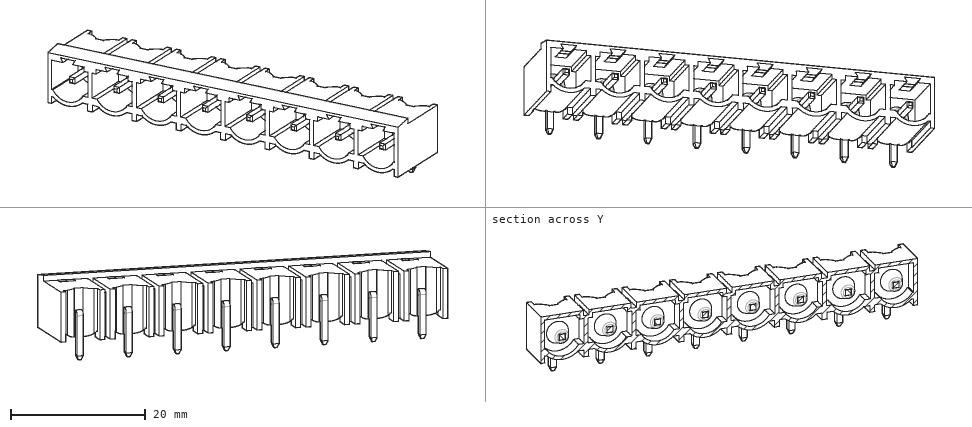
import cadquery as cq


pin_count = 8
housing_length = 60.15
end_to_pin = 3.4
pitch = (housing_length - 2 * end_to_pin) / (pin_count - 1)
pin_places = [end_to_pin + i * pitch for i in range(pin_count)]
divider_places = [x + pitch / 2 for x in pin_places[:-1]]

housing_depth = 11.7
body_depth = 10.6
body_height = 7.6
axis_height = 3.8

ridge_depth = 3.0
ridge_flat = 0.2
ridge_back_height = 8.4
ridge_front_height = 8.0

pocket_depth = 7.8
pocket_top = 6.9
pocket_wall = 0.7
pocket_width = pitch - pocket_wall
pocket_ledge = 2.2
pocket_radius = 3.0
end_wall = 0.65
shoulder_width = pocket_width / 2 - (end_to_pin - end_wall)
shoulder_drop = 0.7

floor_height = 1.1
belly_radius = 3.65
divider_width = 0.85
divider_depth = 9.7
groove_floor = 6.75
foot_width = 0.8
notch_width = 1.4
notch_lip_depth = 9.55
notch_flare_width = 4.1
flare_mid_width = 2.65
flare_mid_depth = 10.1

slot_top_width = 2.45
slot_bottom_width = 1.7
slot_depth = 4.1

boss_base_radius = 1.75
boss_tip_radius = 1.0
boss_length = 1.9
boss_rounding = 0.3

pin_width = 0.95
pin_front = 1.0
leg_back = 10.35
leg_front = leg_back - pin_width
leg_bottom = -3.2
front_point_length = 0.3
front_point_width = 0.5
leg_point_length = 0.65
leg_point_width = 0.4
bend_radius = 0.7


def box_between(x_range, y_range, z_range):
    """A box given by its lower and upper limits along each axis."""
    limits = (x_range, y_range, z_range)
    sizes = [high - low for low, high in limits]
    corner = tuple(low for low, high in limits)
    return cq.Workplane("XY").box(*sizes, centered=False).translate(corner)


def rod_along_y(x, radius, y_range):
    """A round rod on the pin axis of one cell."""
    start, end = y_range
    plane = cq.Workplane("XZ", origin=(x, start, axis_height))
    return plane.circle(radius).extrude(start - end)


def span(x, width):
    """The limits of a width centred on x."""
    return (x - width / 2, x + width / 2)


def make_block():
    """The upper block with the sloping ridge along its front edge."""
    outline = [
        (0, floor_height),
        (body_depth, floor_height),
        (body_depth, body_height),
        (ridge_depth, body_height),
        (ridge_depth, ridge_back_height),
        (ridge_depth - ridge_flat, ridge_back_height),
        (0, ridge_front_height),
    ]
    return cq.Workplane("YZ").polyline(outline).close().extrude(housing_length)


def make_belly(x):
    """The rounded underside of one cell, concentric with its pin."""
    rod = rod_along_y(x, belly_radius, (0, body_depth))
    width = 2 * belly_radius
    below_floor = box_between(span(x, width), (0, body_depth), (0, floor_height))
    return rod.intersect(below_floor)


def make_foot(x):
    """A post at the back that stands on the board, starting level with the pin legs."""
    return box_between((x, x + foot_width), (leg_front, housing_depth), (0, body_height))


def make_divider(x):
    """The lower part of the web between two cells, down to the board."""
    return box_between(span(x, divider_width), (0, divider_depth), (0, axis_height))


def make_groove(x):
    """The gap between two cells: a groove in the top and a slit through the back."""
    width = span(x, divider_width)
    groove = box_between(width, (ridge_depth, housing_depth), (groove_floor, body_height))
    slit = box_between(width, (divider_depth, housing_depth), (0, body_height))
    return groove.union(slit)


def make_pocket(x):
    """The opening of one cell: a box with stepped upper corners and a round bottom."""
    depth = (0, pocket_depth)
    pocket = box_between(span(x, pocket_width), depth, (pocket_ledge, pocket_top))
    shoulder_height = (pocket_top - shoulder_drop, pocket_top)
    half = pocket_width / 2
    for left in (x - half, x + half - shoulder_width):
        pocket = pocket.cut(box_between((left, left + shoulder_width), depth, shoulder_height))
    round_bottom = rod_along_y(x, pocket_radius, depth).intersect(
        box_between(span(x, 2 * pocket_radius), depth, (0, pocket_ledge))
    )
    inside = box_between((end_wall, housing_length - end_wall), depth, (0, pocket_top))
    return pocket.union(round_bottom).intersect(inside)


def make_slot(x):
    """The coding slot above one pocket, narrower at its bottom."""
    outline = [
        (x - slot_bottom_width / 2, pocket_top),
        (x + slot_bottom_width / 2, pocket_top),
        (x + slot_top_width / 2, body_height),
        (x - slot_top_width / 2, body_height),
    ]
    return cq.Workplane("XZ").polyline(outline).close().extrude(-slot_depth)


def make_boss(x):
    """The tapered boss that carries the pin on the back wall of the pocket."""
    base = cq.Workplane("XZ", origin=(x, pocket_depth, axis_height)).circle(boss_base_radius)
    cone = base.workplane(offset=boss_length).circle(boss_tip_radius).loft()
    return cone.faces("<Y").edges().fillet(boss_rounding)


def make_notch(x):
    """The flared notch in the back, as deep as the front face of the pin leg."""
    half = notch_width / 2
    half_flare = notch_flare_width / 2
    half_mid = flare_mid_width / 2
    return (
        cq.Workplane("XY")
        .moveTo(x - half_flare, body_depth)
        .threePointArc((x - half_mid, flare_mid_depth), (x - half, notch_lip_depth))
        .lineTo(x - half, leg_front)
        .lineTo(x + half, leg_front)
        .lineTo(x + half, notch_lip_depth)
        .threePointArc((x + half_mid, flare_mid_depth), (x + half_flare, body_depth))
        .close()
        .extrude(body_height)
    )


def make_pin_hole(x):
    """The square hole that holds the pin in its boss and in the back wall."""
    depth = (pocket_depth - boss_length, leg_front)
    return box_between(span(x, pin_width), depth, span(axis_height, pin_width))


def make_point(plane, length, width):
    """A blunt four-sided point on the end of a square pin."""
    square = plane.rect(pin_width, pin_width)
    return square.workplane(offset=length).rect(width, width).loft()


def make_pin(x):
    """One pin: a bar along the pocket, bent down into a leg at the back."""
    bar_width = span(x, pin_width)
    bar_height = span(axis_height, pin_width)
    leg_depth = (leg_front, leg_back)
    bar_start = pin_front + front_point_length
    leg_end = leg_bottom + leg_point_length
    bar = box_between(bar_width, (bar_start, leg_back), bar_height)
    leg = box_between(bar_width, leg_depth, (leg_end, bar_height[1]))
    bent = bar.union(leg).edges(">Y and >Z").fillet(bend_radius)
    front_plane = cq.Workplane("XZ", origin=(x, bar_start, axis_height))
    leg_middle = leg_back - pin_width / 2
    leg_plane = cq.Workplane(cq.Plane((x, leg_middle, leg_end), (1, 0, 0), (0, 0, -1)))
    front_point = make_point(front_plane, front_point_length, front_point_width)
    leg_point = make_point(leg_plane, leg_point_length, leg_point_width)
    return bent.union(front_point).union(leg_point)


def make_housing():
    """The whole moulded housing."""
    housing = make_block()
    for x in (0, housing_length - end_wall):
        housing = housing.union(box_between((x, x + end_wall), (0, housing_depth), (0, body_height)))
    foot_places = [0, housing_length - foot_width]
    for x in divider_places:
        housing = housing.union(make_divider(x))
        foot_places += [x - divider_width / 2 - foot_width, x + divider_width / 2]
    for x in foot_places:
        housing = housing.union(make_foot(x))
    for x in pin_places:
        housing = housing.union(make_belly(x))
    for x in divider_places:
        housing = housing.cut(make_groove(x))
    for x in pin_places:
        housing = housing.cut(make_pocket(x)).cut(make_slot(x)).cut(make_notch(x))
        housing = housing.union(make_boss(x)).cut(make_pin_hole(x))
    return housing


housing = make_housing().solids()
pins = [make_pin(x).solids() for x in pin_places]
result = cq.Compound.makeCompound([housing.val(), *[pin.val() for pin in pins]])